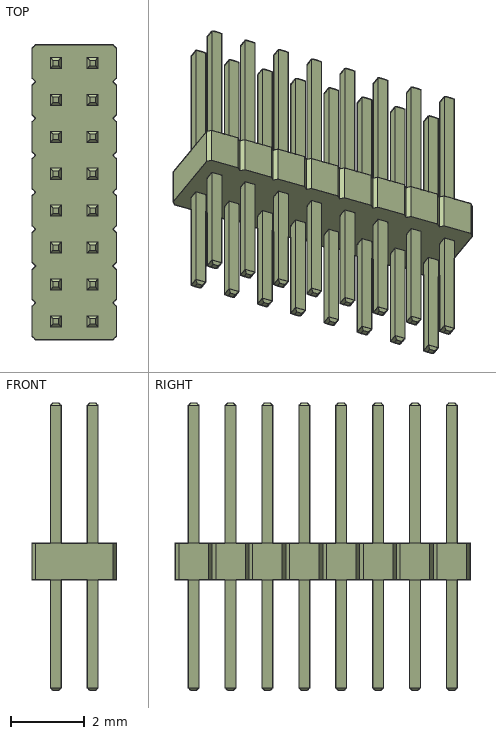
import cadquery as cq

pitch = 1.0
rows = 8
columns = 2

body_width = 2.3
body_height = 1.0
corner_cut = 0.1

pin_size = 0.3
pin_above = 3.8
pin_below = 3.0
pin_length = pin_below + body_height + pin_above
tip_inset = pin_size / 4
tip_height = tip_inset


def centred_positions(count):
    """Coordinates of a row of pitch-spaced places centred on zero."""
    return [(i - (count - 1) / 2) * pitch for i in range(count)]


def make_block(y):
    """Housing block of one row, with its vertical edges chamfered."""
    return (
        cq.Workplane("XY")
        .center(0, y)
        .rect(body_width, pitch)
        .extrude(body_height)
        .edges("|Z")
        .chamfer(corner_cut)
    )


def make_pin(x, y):
    """Square pin with a tapered tip at both ends."""
    return (
        cq.Workplane("XY", origin=(x, y, -pin_below))
        .rect(pin_size, pin_size)
        .extrude(pin_length)
        .faces("<Z or >Z")
        .chamfer(tip_height, tip_inset)
    )


result = make_block(centred_positions(rows)[0])
for row_y in centred_positions(rows)[1:]:
    result = result.union(make_block(row_y))
for row_y in centred_positions(rows):
    for column_x in centred_positions(columns):
        result = result.union(make_pin(column_x, row_y))
result = result.clean()